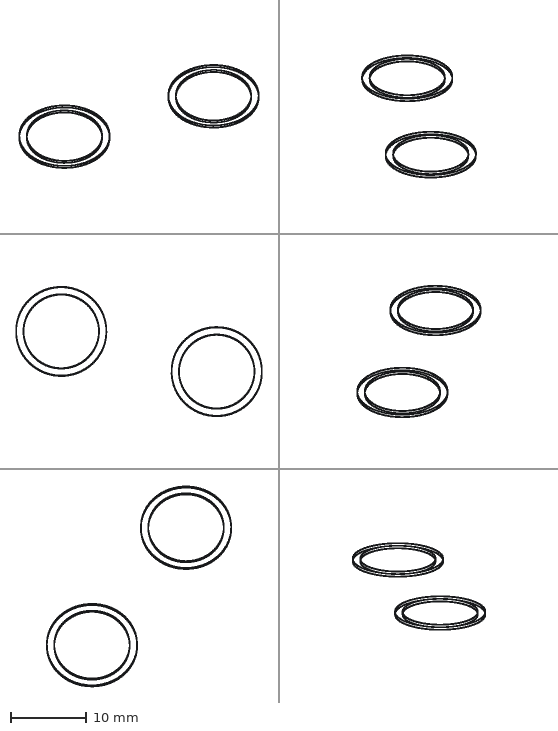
import cadquery as cq

overall_x = 27.85
overall_y = 26.25

outer_diameter = 12.0
inner_diameter = 10.0
thickness = 0.4

spacing_x = overall_x - outer_diameter
spacing_y = overall_y - outer_diameter


def flat_ring(center_x, center_y):
    """Flat ring lying on the XY plane around the given centre."""
    return (
        cq.Workplane("XY")
        .center(center_x, center_y)
        .circle(outer_diameter / 2)
        .circle(inner_diameter / 2)
        .extrude(thickness)
    )


rings = []
for side in (-1, 1):
    ring = flat_ring(side * spacing_x / 2, side * spacing_y / 2)
    rings.append(ring.val())

result = cq.Compound.makeCompound(rings)